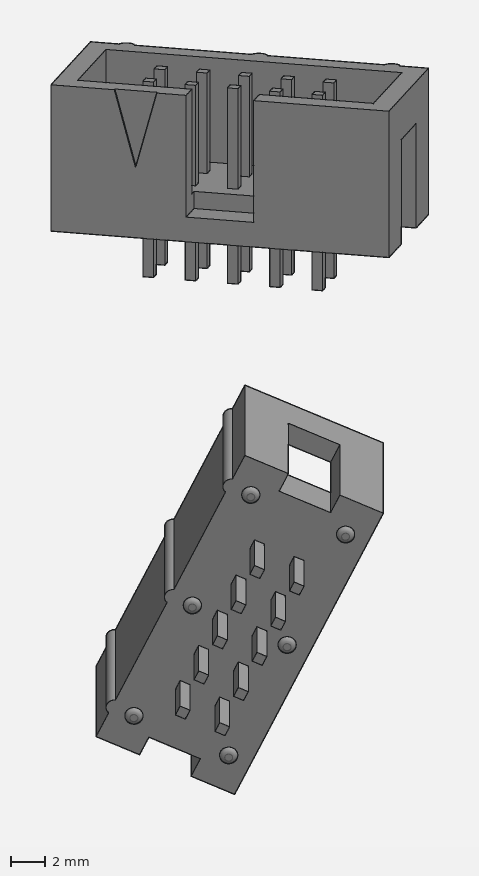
import cadquery as cq

PITCH = 2.54
WALL = PITCH / 2
LENGTH = 8 * PITCH
DEPTH = 3.5 * PITCH
HEIGHT = 3.5 * PITCH
FLOOR_TOP = PITCH
FRONT_Y = -DEPTH / 2
BACK_Y = DEPTH / 2

NOTCH_WIDTH = 1.6 * PITCH
NOTCH_BOTTOM = 1.5
NOTCH_INTO_FLOOR = 0.5

END_SLOT_WIDTH = 3.3
END_SLOT_TOP = 2.5 * PITCH

MARK_WIDTH = PITCH
MARK_HEIGHT = 4.6
MARK_SINK = 0.15

COLUMNS = 5
ROWS = 2
PIN_SIDE = 0.64
PIN_TOP = HEIGHT - 0.25
OVERALL_HEIGHT = 12.12
PIN_BOTTOM = HEIGHT - OVERALL_HEIGHT
PIN_1_X = -(COLUMNS - 1) / 2 * PITCH

SUPPORT_SPACING = 7.98
SUPPORT_XS = [-SUPPORT_SPACING, 0, SUPPORT_SPACING]
OVERALL_DEPTH = 9.22
RIB_RADIUS = 0.5
RIB_PROTRUSION = OVERALL_DEPTH - DEPTH
FOOT_RADIUS = 0.53
FOOT_HEIGHT = 0.3
FOOT_Y = 3.04
JOIN_OVERLAP = 0.5


def block(size_x, size_y, bottom, top, x=0, y=0):
    """Upright box centred on (x, y) between two heights."""
    return cq.Workplane("XY", origin=(x, y, bottom)).rect(size_x, size_y).extrude(top - bottom)


def shell():
    outside = block(LENGTH, DEPTH, 0, HEIGHT)
    cavity = block(LENGTH - 2 * WALL, DEPTH - 2 * WALL, FLOOR_TOP, HEIGHT)
    return outside.cut(cavity)


def polarising_notch():
    notch_depth = WALL + NOTCH_INTO_FLOOR
    return block(NOTCH_WIDTH, notch_depth, NOTCH_BOTTOM, HEIGHT, y=FRONT_Y + notch_depth / 2)


def end_slot(side):
    """Slot through the end wall on the given side (-1 or +1 along X)."""
    return block(WALL, END_SLOT_WIDTH, 0, END_SLOT_TOP, x=side * (LENGTH - WALL) / 2)


def pin_1_mark():
    corners = [
        (PIN_1_X - MARK_WIDTH / 2, HEIGHT),
        (PIN_1_X + MARK_WIDTH / 2, HEIGHT),
        (PIN_1_X, HEIGHT - MARK_HEIGHT),
    ]
    face = cq.Workplane("XZ", origin=(0, FRONT_Y, 0)).polyline(corners).close()
    return face.extrude(-MARK_SINK)


def back_rib(x):
    """Full-height rounded rib on the back face."""
    centre_y = BACK_Y + RIB_PROTRUSION - RIB_RADIUS
    return cq.Workplane("XY", origin=(x, centre_y, 0)).circle(RIB_RADIUS).extrude(HEIGHT)


def foot(x, y):
    """Round standoff under the housing, its exposed side fully rounded."""
    disc = cq.Workplane("XY", origin=(x, y, -FOOT_HEIGHT)).circle(FOOT_RADIUS)
    return disc.extrude(FOOT_HEIGHT + JOIN_OVERLAP).faces("<Z").edges().fillet(FOOT_HEIGHT)


def pin(column, row):
    x = PIN_1_X + column * PITCH
    y = (row - (ROWS - 1) / 2) * PITCH
    return block(PIN_SIDE, PIN_SIDE, PIN_BOTTOM, PIN_TOP, x, y)


result = shell().cut(polarising_notch()).cut(pin_1_mark())
for side in (-1, 1):
    result = result.cut(end_slot(side))
for support_x in SUPPORT_XS:
    result = result.union(back_rib(support_x))
    for foot_y in (-FOOT_Y, FOOT_Y):
        result = result.union(foot(support_x, foot_y))
for column in range(COLUMNS):
    for row in range(ROWS):
        result = result.union(pin(column, row))